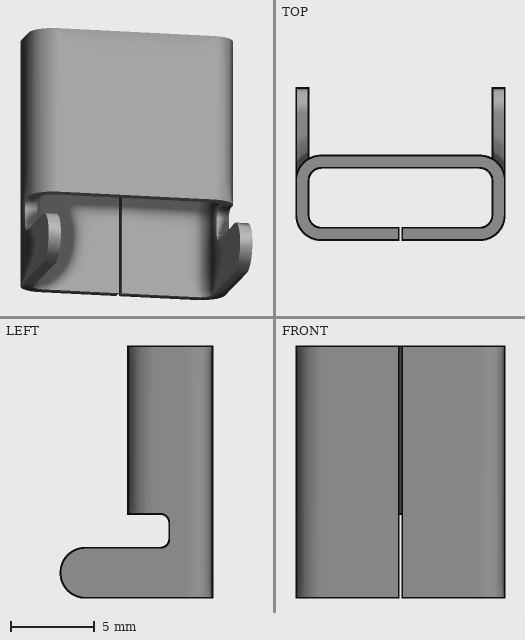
import cadquery as cq

width = 12.44
depth = 9.08
height = 15.0

wall = 0.75
bend_radius = 1.5
inner_bend_radius = bend_radius - wall
sleeve_depth = 5.05
seam_gap = 0.18

tab_height = 3.0
slot_height = 2.0
slot_start = 2.6
slot_corner_radius = 0.51
sleeve_bottom = tab_height + slot_height


def rounded_bar(bar_width, bar_depth, radius, front, bottom):
    """Vertical block centred on X with rounded upright edges, up to the top."""
    bar = cq.Workplane("XY").box(bar_width, bar_depth, height - bottom, centered=(True, False, False))
    return bar.edges("|Z").fillet(radius).translate((0, front, bottom))


def closed_sleeve():
    """Rectangular tube above the slots."""
    outer = rounded_bar(width, sleeve_depth, bend_radius, 0, sleeve_bottom)
    inner = rounded_bar(
        width - 2 * wall, sleeve_depth - 2 * wall, inner_bend_radius, wall, sleeve_bottom
    )
    return outer.cut(inner)


def open_channel():
    """U-shaped lower part whose side walls reach back to the tab ends."""
    inner_width = width - 2 * wall
    outer = cq.Workplane("XY").box(width, depth, sleeve_bottom, centered=(True, False, False))
    outer = outer.edges("|Z and <Y").fillet(bend_radius)
    inner = cq.Workplane("XY").box(inner_width, depth, sleeve_bottom, centered=(True, False, False))
    inner = inner.edges("|Z and <Y").fillet(inner_bend_radius).translate((0, wall, 0))
    channel = outer.cut(inner)

    slot = cq.Workplane("XY").box(width, depth, slot_height, centered=(True, False, False))
    slot = slot.edges("|X and <Y").fillet(slot_corner_radius)
    channel = channel.cut(slot.translate((0, slot_start, tab_height)))

    tab_radius = tab_height / 2
    tab_profile = (
        cq.Workplane("YZ", origin=(-width / 2, 0, 0))
        .lineTo(depth - tab_radius, 0)
        .threePointArc((depth, tab_radius), (depth - tab_radius, tab_height))
        .lineTo(sleeve_depth, tab_height)
        .lineTo(sleeve_depth, sleeve_bottom)
        .lineTo(0, sleeve_bottom)
        .close()
        .extrude(width)
    )
    return channel.intersect(tab_profile)


seam = cq.Workplane("XY").box(seam_gap, wall, height, centered=(True, False, False))

result = closed_sleeve().union(open_channel()).cut(seam)